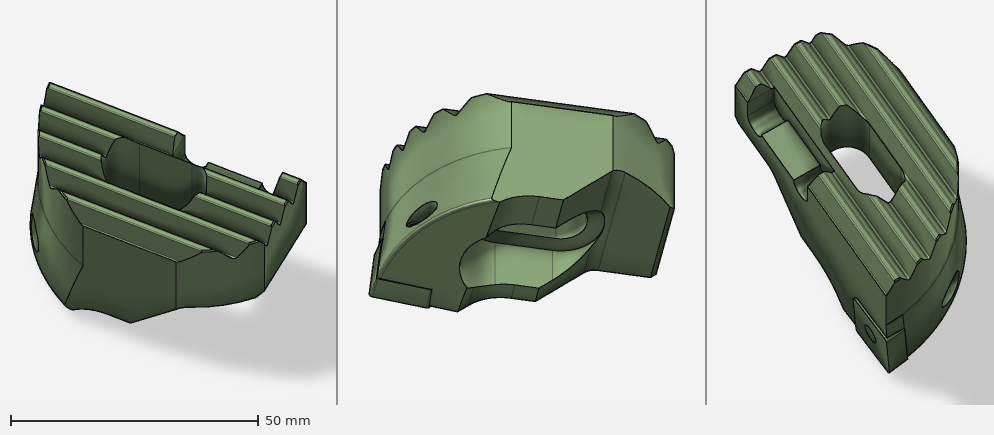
import cadquery as cq
import math


outline_radius = 31.7
holder_depth = 29.9
right_end_x = 25.15
crest_edge_chamfer = 0.3

ridge_count = 5
ridge_pitch = holder_depth / ridge_count
crest_width = 1.35
flank_angle = 60
serration_radius = 0.35
flank_run = (ridge_pitch - crest_width) / 2
valley_sharp_depth = flank_run * math.tan(math.radians(flank_angle))
valley_depth = valley_sharp_depth - serration_radius

flare_top_z = -16.65
flare_angle = 6
flare_slope = math.tan(math.radians(flare_angle))
rim_radius = 0.7

nose_x = -15.75
nose_z = -35.4
underside_angle = 6
underside_slope = math.tan(math.radians(underside_angle))
heel_z = -29.5
heel_end_x = 0.25
foot_z = -18.3
nose_arc_radius = 12.4
foot_arc_radius = 4.15
foot_chamfer = 1.2

slot_x = -2.9
slot_y = -12.8
slot_length = 22.55
slot_width = 10.7
head_recess_width = 17.7
head_recess_length = slot_length + head_recess_width - slot_width

notch_x = 9.15
notch_length = 22.6
notch_depth_y = 6.4
notch_mouth_flare = 0.55
pedestal_length = 12.15
pedestal_z = -9.45
groove_width = (notch_length - pedestal_length) / 2

insert_side = 12.7
insert_thickness = 4.8
insert_proud = 0.55
insert_taper = 7
insert_corner_radius = 0.8
insert_x = -27.0
insert_z = -28.15
insert_tilt = 5.5
seat_y = insert_proud - insert_thickness

screw_x = -26.7
screw_z = -27.9
screw_radius = 2.05
screw_chamfer = 0.5
bore_radius = 2.5
bore_floor_y = -13.85

oversize = 118


def block(x_min, x_max, y_min, y_max, z_min, z_max):
    """Axis-aligned box between the given limits."""
    size = (x_max - x_min, y_max - y_min, z_max - z_min)
    return cq.Workplane("XY").box(*size, centered=False).translate((x_min, y_min, z_min))


def y_cylinder(radius, y_start, y_end):
    """Cylinder along Y on the screw axis."""
    plane = cq.Plane(origin=(screw_x, y_start, screw_z), xDir=(1, 0, 0), normal=(0, 1, 0))
    return cq.Workplane(plane).circle(radius).extrude(y_end - y_start)


def upright_outline(z_bottom):
    """Round-nosed outline with straight front, back and right sides, up to the crest plane."""
    disc = cq.Workplane("XY").workplane(offset=z_bottom).circle(outline_radius).extrude(-z_bottom)
    return disc.intersect(block(-oversize, right_end_x, -holder_depth, 0, z_bottom, 0))


def below_underside():
    """Everything below the underside, which falls toward the right and rises toward the front."""
    plane = cq.Plane(
        origin=(nose_x, 0, nose_z),
        xDir=(1, 0, -underside_slope),
        normal=(underside_slope, underside_slope, 1),
    )
    return cq.Workplane(plane).rect(2 * oversize, 2 * oversize).extrude(-oversize)


def flared_part():
    """Conical left part under the upright wall, with a rounded rim along the underside."""
    height = oversize / 2
    cone = cq.Workplane(
        cq.Solid.makeCone(
            outline_radius,
            outline_radius + height * flare_slope,
            height,
            pnt=cq.Vector(0, 0, flare_top_z),
            dir=cq.Vector(0, 0, -1),
        )
    )
    cone = cone.cut(below_underside()).edges("%ELLIPSE").fillet(rim_radius)
    cone = cone.intersect(block(-oversize, 0, -holder_depth, 0, -oversize, flare_top_z))
    beside_insert = block(-oversize, insert_x, seat_y, 0, -oversize, flare_top_z)
    return cone.cut(beside_insert).union(insert_flank())


def insert_flank():
    """Flat flank beside the insert, spanning a chord of the round outline."""
    bottom_z = nose_z
    bottom_x = -outline_radius + (bottom_z - flare_top_z) * flare_slope
    corners = [
        (-outline_radius, flare_top_z),
        (insert_x, flare_top_z),
        (insert_x, bottom_z),
        (bottom_x, bottom_z),
    ]
    wire = cq.Wire.makePolygon([cq.Vector(x, 0, z) for x, z in corners], close=True)
    chord_run = outline_radius - math.sqrt(outline_radius**2 - seat_y**2)
    flank = cq.Solid.extrudeLinear(wire, [], cq.Vector(chord_run, seat_y, 0))
    return cq.Workplane(flank).cut(below_underside())


def below_foot_and_heel():
    """Space under the holder: 45-degree slopes from nose to heel and from heel to foot."""
    nose_rise_x = nose_x + heel_z - nose_z
    foot_start_x = heel_end_x + foot_z - heel_z
    low_z = -oversize
    space = (
        cq.Workplane("XZ")
        .moveTo(nose_x + low_z - nose_z, low_z)
        .lineTo(nose_rise_x, heel_z)
        .lineTo(heel_end_x, heel_z)
        .lineTo(foot_start_x, foot_z)
        .lineTo(right_end_x - foot_chamfer, foot_z)
        .lineTo(right_end_x, foot_z + foot_chamfer)
        .lineTo(oversize, foot_z + foot_chamfer)
        .lineTo(oversize, low_z)
        .close()
        .extrude(oversize, both=True)
    )
    near_nose = cq.selectors.NearestToPointSelector((nose_rise_x, 0, heel_z))
    near_foot = cq.selectors.NearestToPointSelector((foot_start_x, 0, foot_z))
    space = space.edges("|Y").edges(near_nose).fillet(nose_arc_radius)
    return space.edges("|Y").edges(near_foot).fillet(foot_arc_radius)


def serration_space():
    """V-shaped valleys between the ridges, one on each face and one between neighbouring ridges."""
    points = [(holder_depth, oversize), (-2 * holder_depth, oversize)]
    for valley in range(ridge_count, -1, -1):
        y = -valley * ridge_pitch
        points += [(y - flank_run, 0), (y, -valley_sharp_depth), (y + flank_run, 0)]
    profile = cq.Workplane("YZ").polyline(points).close().extrude(oversize, both=True)
    near_teeth = cq.selectors.BoxSelector(
        (-0.6, -holder_depth - ridge_pitch, -2 * valley_sharp_depth), (0.6, ridge_pitch, ridge_pitch)
    )
    return profile.edges("|X").edges(near_teeth).fillet(serration_radius)


def clamping_slot():
    """Through slot with the bolt-head recess below foot level."""
    through = cq.Workplane("XY").center(slot_x, slot_y).slot2D(slot_length, slot_width)
    recess = cq.Workplane("XY").workplane(offset=foot_z).center(slot_x, slot_y)
    recess = recess.slot2D(head_recess_length, head_recess_width)
    return through.extrude(oversize, both=True).union(recess.extrude(-oversize))


def back_notch():
    """Notch through the back face, slightly flared above the valleys."""
    half = notch_length / 2
    pedestal_half = pedestal_length / 2
    mouth_half = half + notch_mouth_flare
    groove_radius = groove_width / 2
    return (
        cq.Workplane("XZ")
        .center(notch_x, 0)
        .moveTo(-mouth_half, 0)
        .lineTo(-half, -valley_depth)
        .lineTo(-half, pedestal_z)
        .threePointArc((-half + groove_radius, pedestal_z - groove_radius), (-pedestal_half, pedestal_z))
        .lineTo(pedestal_half, pedestal_z)
        .threePointArc((half - groove_radius, pedestal_z - groove_radius), (half, pedestal_z))
        .lineTo(half, -valley_depth)
        .lineTo(mouth_half, 0)
        .close()
        .extrude(notch_depth_y)
    )


def insert_blank():
    """Tilted square that tapers from its back face toward its seat."""
    plane = cq.Plane(origin=(insert_x, insert_proud, insert_z), xDir=(1, 0, 0), normal=(0, -1, 0))
    square = cq.Sketch().rect(insert_side, insert_side).vertices().fillet(insert_corner_radius)
    blank = cq.Workplane(plane).placeSketch(square).extrude(insert_thickness, taper=insert_taper)
    return blank.rotate((insert_x, 0, insert_z), (insert_x, 1, insert_z), insert_tilt)


def make_screw():
    """Plain screw from the insert face to the bore, with a chamfered end."""
    end_y = bore_floor_y - screw_chamfer
    return y_cylinder(screw_radius, end_y, insert_proud).faces("<Y").chamfer(screw_chamfer)


def make_insert():
    """Insert with a hole for the screw."""
    return insert_blank().cut(make_screw())


def make_holder():
    """Holder with its insert seat, screw hole and screw access bore."""
    upper = upright_outline(flare_top_z).faces(">Z").edges().chamfer(crest_edge_chamfer)
    lower_right = upright_outline(nose_z).intersect(block(0, oversize, -oversize, 0, nose_z, flare_top_z))
    body = upper.union(lower_right).union(flared_part())
    body = body.cut(below_foot_and_heel())
    body = body.cut(serration_space())
    body = body.cut(clamping_slot())
    body = body.cut(back_notch())
    body = body.cut(insert_blank())
    body = body.cut(y_cylinder(bore_radius, -oversize, bore_floor_y))
    return body.cut(make_screw())


holder = make_holder()
insert = make_insert()
screw = make_screw()
result = cq.Compound.makeCompound([holder.val(), insert.val(), screw.val()])